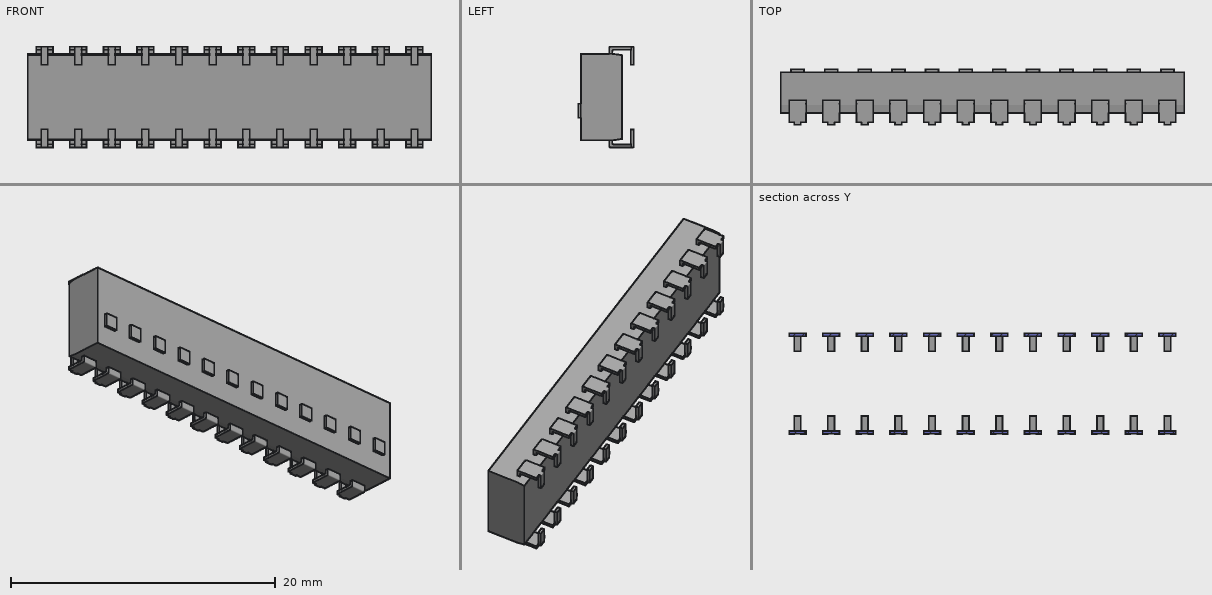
import cadquery as cq

body_length = 30.48
body_depth = 3.1
body_height = 6.52
taper_depth = 0.6
taper_drop = 0.1

position_count = 12
pitch = body_length / position_count

overall_height = 7.62
pin_thickness = 0.25
pin_reach = 0.88
pin_plate_width = 1.28
pin_tip_width = 0.52
pin_depth = 1.85
pin_tip_length = 1.37
pin_shoulder_setback = 0.18
bend_radius = 0.1

slider_width = 1.0
slider_height = 1.07
slider_rise = 0.2
slider_offset = -1.05

body_front = -body_depth / 2
body_back = body_depth / 2
body_top = body_height / 2
pin_front = body_front - pin_reach
pin_back = pin_front + pin_depth
pin_outside = overall_height / 2
pin_inside = pin_outside - pin_thickness
root_front = pin_back - pin_thickness
tip_back = pin_front + pin_thickness
tip_end = pin_outside - pin_tip_length


def make_body():
    """Block whose long edges taper in towards the front face."""
    taper_start = body_front + taper_depth
    front_top = body_top - taper_drop
    outline = [
        (body_back, -body_top),
        (body_back, body_top),
        (taper_start, body_top),
        (body_front, front_top),
        (body_front, -front_top),
        (taper_start, -body_top),
    ]
    return cq.Workplane("YZ").polyline(outline).close().extrude(body_length / 2, both=True)


def make_bent_strip():
    """Full side profile of the upper pin at plate width, with rounded bends."""
    profile = [
        (pin_back, body_top),
        (pin_back, pin_outside),
        (pin_front, pin_outside),
        (pin_front, tip_end),
        (tip_back, tip_end),
        (tip_back, pin_inside),
        (root_front, pin_inside),
        (root_front, body_top),
    ]
    strip = cq.Workplane("YZ").polyline(profile).close().extrude(pin_plate_width / 2, both=True)
    strip = strip.faces(">Z").edges("|X").fillet(bend_radius)
    root_bend = cq.selectors.NearestToPointSelector((0, root_front, pin_inside))
    return strip.edges(root_bend).fillet(bend_radius)


def make_side_cut():
    """Material removed beside the tip on +X: the shoulder step, and the tip's thickness below the plate."""
    shoulder_front = pin_front + pin_shoulder_setback
    profile = [
        (pin_front, tip_end),
        (pin_front, pin_outside),
        (shoulder_front, pin_outside),
        (shoulder_front, pin_inside),
        (tip_back, pin_inside),
        (tip_back, tip_end),
    ]
    cut = cq.Workplane("YZ").workplane(offset=pin_tip_width / 2).polyline(profile).close()
    return cut.extrude((pin_plate_width - pin_tip_width) / 2)


def make_upper_pin():
    """Pin with a wide root and plate, stepping down to a narrow bent tip."""
    side_cut = make_side_cut()
    return make_bent_strip().cut(side_cut).cut(side_cut.mirror("YZ"))


def make_slider():
    """Flat pad on the back face, below mid-height."""
    slider = cq.Workplane("XY").box(slider_width, slider_rise, slider_height, centered=(True, False, True))
    return slider.translate((0, body_back, slider_offset))


upper_pin = make_upper_pin()
lower_pin = upper_pin.mirror("XY")
slider = make_slider()

result = make_body()
for index in range(position_count):
    x = (index - (position_count - 1) / 2) * pitch
    for feature in (upper_pin, lower_pin, slider):
        result = result.union(feature.translate((x, 0, 0)))